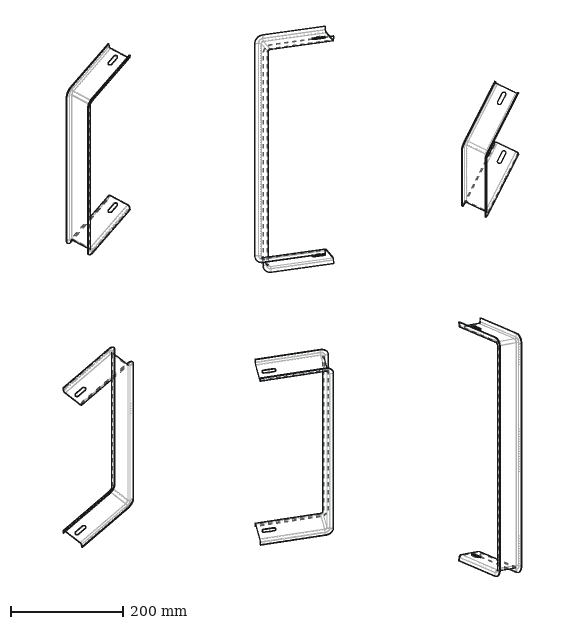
import cadquery as cq
import math

width = 48.0
depth = 133.0
height = 443.0

thickness = 2.0
flange_height = 11.0
flare_angle = 7.0
fold_outer_radius = 5.0
fold_inner_radius = fold_outer_radius - thickness

corner_radius = 15.0

slot_length = 25.0
slot_width = 7.0
slot_end_margin = 8.0

front_y = -depth / 2
back_y = depth / 2
top_z = height / 2
bottom_z = -top_z


def channel_section():
    """Outline of the flared channel at the back end of the upper arm."""
    flare = math.radians(flare_angle)
    web_outside = top_z - flange_height
    web_inside = web_outside + thickness

    tip_outer_x = width / 2
    tip_outer_z = top_z - thickness * math.sin(flare)
    tip_inner_x = tip_outer_x - thickness * math.cos(flare)
    fold_outer_x = tip_outer_x - (tip_outer_z - web_outside) * math.tan(flare)
    fold_inner_x = tip_inner_x - (top_z - web_inside) * math.tan(flare)

    right_side = [
        (fold_outer_x, web_outside),
        (tip_outer_x, tip_outer_z),
        (tip_inner_x, top_z),
        (fold_inner_x, web_inside),
    ]
    left_side = [(-x, z) for x, z in reversed(right_side)]
    channel = (
        cq.Workplane("XZ", origin=(0, back_y, 0))
        .polyline(right_side + left_side)
        .close()
        .extrude(depth)
        .edges("|Y and <Z")
        .fillet(fold_outer_radius)
    )
    for x in (-fold_inner_x, fold_inner_x):
        inner_fold = cq.selectors.NearestToPointSelector((x, 0, web_inside))
        channel = channel.edges("|Y").edges(inner_fold).fillet(fold_inner_radius)
    return channel.faces(">Y").wires().val()


def bracket_path():
    """Line of the flange tips: upper arm, upright and lower arm joined by round corners."""
    corner_y = front_y + corner_radius
    corner_z = top_z - corner_radius
    bend_y = front_y + corner_radius * (1 - math.sqrt(0.5))
    bend_z = top_z - corner_radius * (1 - math.sqrt(0.5))
    return (
        cq.Workplane("YZ")
        .moveTo(back_y, top_z)
        .lineTo(corner_y, top_z)
        .threePointArc((bend_y, bend_z), (front_y, corner_z))
        .lineTo(front_y, -corner_z)
        .threePointArc((bend_y, -bend_z), (corner_y, bottom_z))
        .lineTo(back_y, bottom_z)
    )


def slot_cutter():
    """Vertical slot passing through both arms."""
    slot_y = back_y - slot_end_margin - slot_length / 2
    return (
        cq.Workplane("XY", origin=(0, slot_y, bottom_z))
        .slot2D(slot_length, slot_width, 90)
        .extrude(height)
    )


bracket = cq.Workplane("XY").newObject([channel_section()]).toPending().sweep(bracket_path())
result = bracket.cut(slot_cutter())